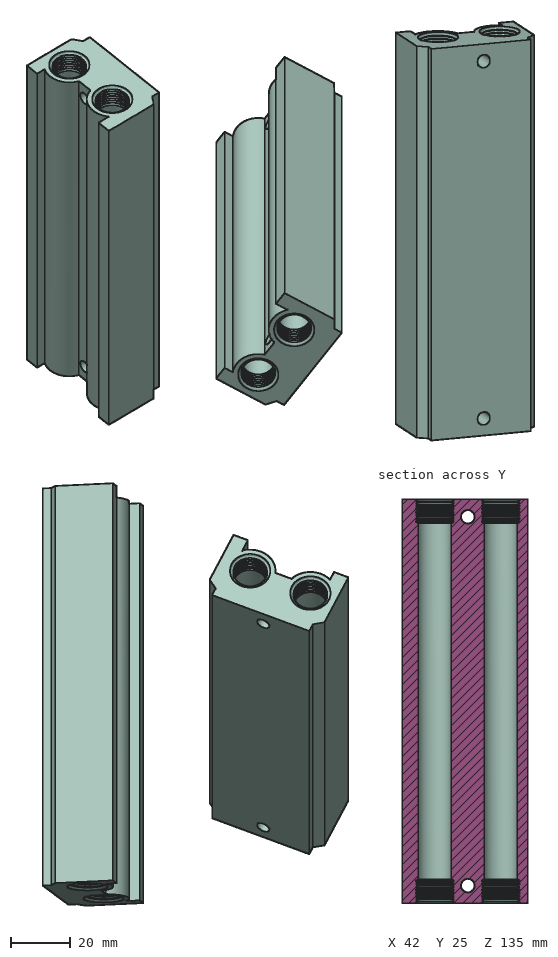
import cadquery as cq

WIDTH = 42.0
DEPTH = 25.0
LENGTH = 135.0

SHOULDER_INSET = 3.2
SHOULDER_STEP = 3.0
SHOULDER_SLOPE = 2.3

LEG_WIDTH = 5.3
CHANNEL_DEPTH = 8.2

BORE_SPACING = 22.0
FIRST_BORE_X = 9.0
BORE_Y = 11.0
BORE_X_POSITIONS = (FIRST_BORE_X, FIRST_BORE_X + BORE_SPACING)
BORE_RADIUS = 5.7
BOSS_RADIUS = 8.5

THREAD_PITCH = 1.04
THREAD_COUNT = 8
THREAD_ROOT_RADIUS = 6.5
MOUTH_RADIUS = 6.8
MOUTH_CHAMFER = MOUTH_RADIUS - THREAD_ROOT_RADIUS

CROSS_HOLE_DIAMETER = 4.5
CROSS_HOLE_END_DISTANCE = 6.0
CROSS_HOLE_X = FIRST_BORE_X + BORE_SPACING / 2


def make_body():
    """Extruded outline with two legs, a channel and stepped rear shoulders."""
    step_y = DEPTH - SHOULDER_STEP
    slope_y = step_y - SHOULDER_SLOPE
    outline = [
        (0, 0),
        (LEG_WIDTH, 0),
        (LEG_WIDTH, CHANNEL_DEPTH),
        (WIDTH - LEG_WIDTH, CHANNEL_DEPTH),
        (WIDTH - LEG_WIDTH, 0),
        (WIDTH, 0),
        (WIDTH, slope_y),
        (WIDTH - SHOULDER_INSET, step_y),
        (WIDTH - SHOULDER_INSET, DEPTH),
        (SHOULDER_INSET, DEPTH),
        (SHOULDER_INSET, step_y),
        (0, slope_y),
    ]
    return cq.Workplane("XY").polyline(outline).close().extrude(LENGTH)


def make_bosses():
    """Round walls around the bores, bulging into the channel."""
    bosses = cq.Workplane("XY").pushPoints([(x, BORE_Y) for x in BORE_X_POSITIONS])
    return bosses.circle(BOSS_RADIUS).extrude(LENGTH)


def port_profile():
    """Points (radius, height) of a threaded port, from its inner end up to the mouth."""
    thread_start = LENGTH - MOUTH_CHAMFER - (THREAD_COUNT - 0.5) * THREAD_PITCH
    points = []
    for index in range(THREAD_COUNT):
        groove_z = thread_start + index * THREAD_PITCH
        points.append((BORE_RADIUS, groove_z))
        points.append((THREAD_ROOT_RADIUS, groove_z + THREAD_PITCH / 2))
    points.append((MOUTH_RADIUS, LENGTH))
    return points


def make_bore():
    """Through bore on the Z axis with a threaded port at each end."""
    upper_port = port_profile()
    lower_port = [(radius, LENGTH - z) for radius, z in reversed(upper_port)]
    outline = [(0, 0)] + lower_port + upper_port + [(0, LENGTH)]
    return cq.Workplane("XZ").polyline(outline).close().revolve(360, (0, 0), (0, 1))


def make_cross_holes():
    """Cutters running through the body along Y, one near each end."""
    heights = (CROSS_HOLE_END_DISTANCE, LENGTH - CROSS_HOLE_END_DISTANCE)
    holes = cq.Workplane("XZ").pushPoints([(CROSS_HOLE_X, z) for z in heights])
    return holes.circle(CROSS_HOLE_DIAMETER / 2).extrude(-DEPTH)


result = make_body().union(make_bosses())
bore = make_bore()
for bore_x in BORE_X_POSITIONS:
    result = result.cut(bore.translate((bore_x, BORE_Y, 0)))
result = result.cut(make_cross_holes())